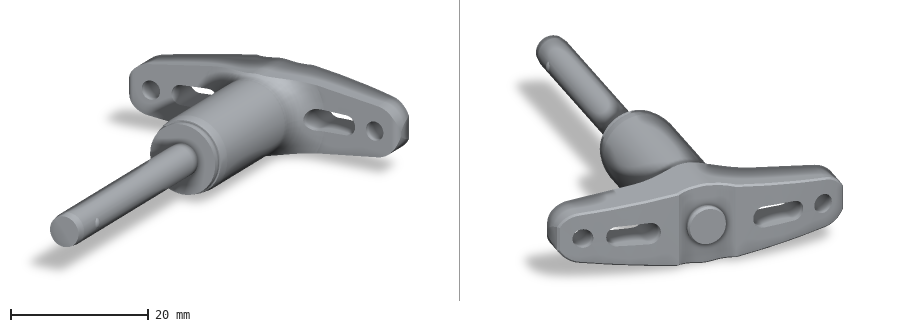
import cadquery as cq
import math


total_length = 67.6
flare_end = 11.15
collar_end = 28.8
shoulder_end = 30.5
seat_end = 31.65
tip_start = 66.2
ball_depth = 62.05

bar_length = 45.2
bar_width = 12.65
end_radius = 4.0
crown_depth = 0.3
crown_reach = 4.4
wing_mid_depth = 1.1
wing_mid_reach = 13.5
end_top_depth = 3.1
end_bottom_depth = 7.5
mid_bottom_depth = 6.4
end_draft_angle = 8
end_foot_radius = 1.0
edge_chamfer = 0.3
dip_depth = 1.15
dip_flat_reach = 1.9

hole_diameter = 3.0
slot_outer_end = 15.3
slot_outer_radius = 1.55
slot_inner_end = 7.15
slot_inner_radius = 1.7

collar_radius = 5.9
flare_radius = 4.25
shoulder_radius = 5.7
seat_radius = 5.4
pin_radius = 2.535
tip_radius = 2.35
button_radius = 3.0
button_chamfer_width = 0.2
button_chamfer_height = 0.5
ball_radius = 1.1
ball_reach = 2.8

half_length = bar_length / 2
end_center = half_length - end_radius
neck_root_depth = flare_end / 2


def tapered_slot(center_a, radius_a, center_b, radius_b, depth):
    """Prism around two circles on the X axis (a before b) and their common tangents.

    It runs from Y = 0 down to Y = -depth.
    """
    lean = math.asin((radius_a - radius_b) / (center_b - center_a))
    a_x = center_a + radius_a * math.sin(lean)
    a_z = radius_a * math.cos(lean)
    b_x = center_b + radius_b * math.sin(lean)
    b_z = radius_b * math.cos(lean)
    return (
        cq.Workplane("XZ")
        .moveTo(a_x, a_z)
        .lineTo(b_x, b_z)
        .threePointArc((center_b + radius_b, 0), (b_x, -b_z))
        .lineTo(a_x, -a_z)
        .threePointArc((center_a - radius_a, 0), (a_x, a_z))
        .close()
        .extrude(depth)
    )


def both_sides(shape):
    """Shape joined with its mirror image across the YZ plane."""
    return shape.union(shape.mirror("YZ"))


def bar_side_profile():
    """Bar seen along Z: crowned wings, central trough, drafted ends, sloped underside."""
    foot_depth = end_bottom_depth - end_foot_radius
    top_reach = half_length - (foot_depth - end_top_depth) * math.tan(math.radians(end_draft_angle))
    foot_reach = half_length + end_foot_radius * math.tan(math.radians(end_draft_angle))
    half = (
        cq.Workplane("XY")
        .moveTo(0, -dip_depth)
        .lineTo(dip_flat_reach, -dip_depth)
        .tangentArcPoint((crown_reach, -crown_depth), relative=False)
        .threePointArc((wing_mid_reach, -wing_mid_depth), (top_reach, -end_top_depth))
        .lineTo(foot_reach, -end_bottom_depth)
        .lineTo(0, -mid_bottom_depth)
        .close()
        .extrude(bar_width, both=True)
    )
    foot_corner = cq.selectors.NearestToPointSelector((foot_reach, -end_bottom_depth, 0))
    half = half.edges(foot_corner).fillet(end_foot_radius)
    return both_sides(half)


def flare():
    """Concave flare that blends the collar into the underside of the bar."""
    outer = collar_radius + flare_radius
    top_depth = flare_end - flare_radius
    diagonal = flare_radius * math.sqrt(0.5)
    return (
        cq.Workplane("XY")
        .moveTo(0, -neck_root_depth)
        .lineTo(collar_radius, -neck_root_depth)
        .lineTo(outer, -top_depth)
        .threePointArc((outer - diagonal, -flare_end + diagonal), (collar_radius, -flare_end))
        .lineTo(0, -flare_end)
        .close()
        .revolve(360, (0, 0, 0), (0, 1, 0))
    )


def top_rim(bar):
    """Edges around the top of the bar, without the lines that cross it beside the trough."""
    margin = 0.7
    x_limit = half_length + margin
    z_limit = bar_width / 2 + margin
    rim_bottom = -(end_top_depth + margin)
    wall_edges = cq.selectors.BoxSelector((-x_limit, rim_bottom, -z_limit), (x_limit, margin, z_limit))
    crossing_edges = cq.selectors.BoxSelector(
        (-crown_reach - margin, rim_bottom, -margin), (crown_reach + margin, margin, margin)
    )
    return bar.edges(wall_edges - crossing_edges - cq.selectors.ParallelDirSelector(cq.Vector(0, 1, 0)))


def handle():
    """Bar with chamfered top rim and flared neck, trimmed to the same outline."""
    outline = both_sides(tapered_slot(0, bar_width / 2, end_center, end_radius, flare_end))
    bar = bar_side_profile().intersect(outline)
    bar = top_rim(bar).chamfer(edge_chamfer)
    return bar.union(flare().intersect(outline))


def bar_holes():
    """Round hole and tapered slot through each wing."""
    round_hole = cq.Workplane("XZ").center(end_center, 0).circle(hole_diameter / 2).extrude(flare_end)
    slot = tapered_slot(
        slot_inner_end + slot_inner_radius,
        slot_inner_radius,
        slot_outer_end - slot_outer_radius,
        slot_outer_radius,
        flare_end,
    )
    return both_sides(round_hole.union(slot))


def turned_body():
    """Button, collar, stepped shoulder and pin as one revolved body."""
    return (
        cq.Workplane("XY")
        .lineTo(button_radius - button_chamfer_width, 0)
        .lineTo(button_radius, -button_chamfer_height)
        .lineTo(button_radius, -neck_root_depth)
        .lineTo(collar_radius, -flare_end)
        .lineTo(collar_radius, -collar_end)
        .tangentArcPoint((shoulder_radius, -shoulder_end), relative=False)
        .lineTo(seat_radius, -shoulder_end)
        .lineTo(seat_radius, -seat_end)
        .lineTo(pin_radius, -seat_end)
        .lineTo(pin_radius, -tip_start)
        .lineTo(tip_radius, -total_length)
        .lineTo(0, -total_length)
        .close()
        .revolve(360, (0, 0, 0), (0, 1, 0))
    )


def locking_balls():
    """Balls standing slightly proud of the pin near its tip."""
    ball = cq.Workplane("XY").sphere(ball_radius)
    return both_sides(ball.translate((ball_reach - ball_radius, -ball_depth, 0)))


result = handle().cut(bar_holes()).union(turned_body()).union(locking_balls())